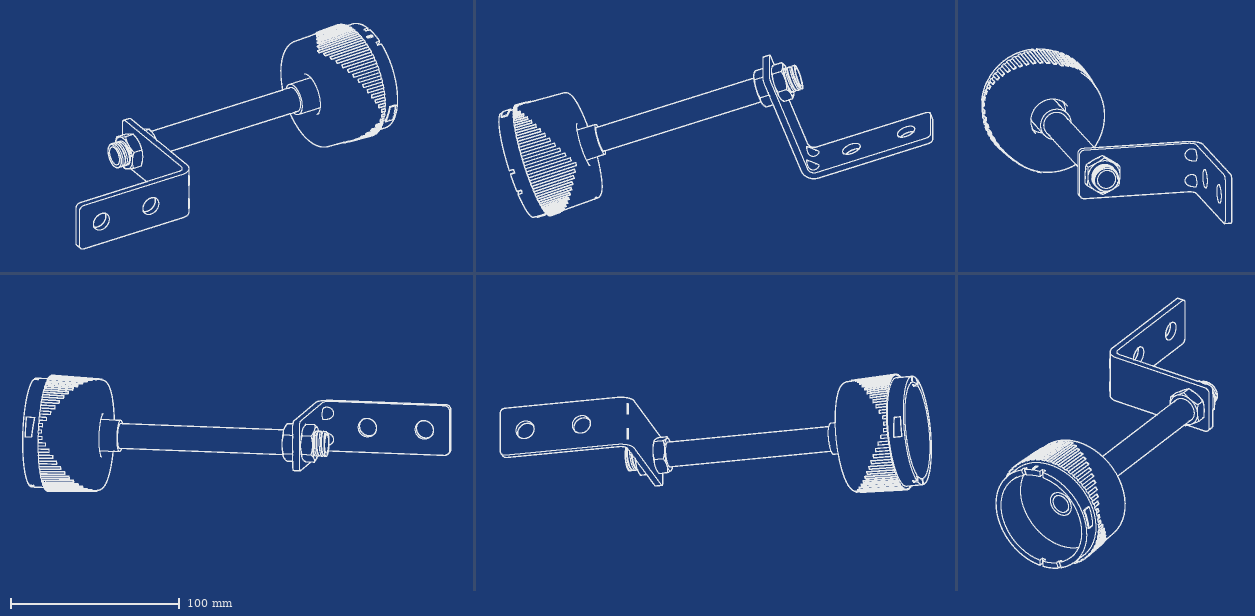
import cadquery as cq
import math


pipe_radius = 7.5
bore_radius = 5.5
pipe_end = 177.2
thread_pitch = 2.9
thread_depth = 0.7
thread_groove_width = 2.0

head_length = 42.5
collar_radius = 32.3
collar_length = 9.8
cone_start_radius = 34.0
cone_end_radius = 32.8
back_fillet = 2.9
cavity_radius = 28.7
recess_radius = 12.5
recess_fillet = 2.0
recess_depth = 16.8
floor_thickness = 4.8
hub_radius = 9.3
hub_end = 52.2
head_turn = 12.0

rib_count = 56
rib_width = 2.0
rib_height = 0.5
longest_rib = head_length - back_fillet - collar_length
shortest_rib = 2.0
rib_step = 2.1

notch_width = 2.2
notch_depth = 2.6
notch_angle = 12.0
lug_height = 0.7
lug_start = 1.7
lug_lengths = (3.8, 5.0)
lug_span = 11.7
lug_offset = 2.5
mark_width = 1.5
mark_length = 3.5
mark_depth = 0.7

plate_thickness = 4.0
bracket_width = 30.0
bracket_right = 61.0
bracket_left = -13.2
bracket_tip = 239.5
plate_front = 159.5
corner_radius = 3.0
bend_inner_radius = 4.0
screw_hole_radius = 5.5
screw_hole_places = (189.7, 224.2)
gusset_radius = 4.0
gusset_spacing = 15.8

nut_thickness = 7.2
nut_across_corners = 22.5
nut_turn = 3.0
nut_chamfer_angle = 30.0

plate_back = plate_front + plate_thickness
cavity_depth = head_length - recess_depth - floor_thickness


def rod(radius, start, end):
    """Cylinder on the pipe axis between two distances from Y = 0."""
    return cq.Workplane("XZ", origin=(0, -start, 0)).circle(radius).extrude(end - start)


def turned(workplane, angle):
    """Turn a shape about the pipe axis, from +Z towards +X."""
    return workplane.rotate((0, 0, 0), (0, 1, 0), angle)


def head_body():
    outline = (
        cq.Workplane("XY")
        .lineTo(collar_radius, 0)
        .lineTo(collar_radius, -collar_length)
        .lineTo(cone_start_radius, -collar_length)
        .lineTo(cone_end_radius, -head_length + back_fillet)
        .radiusArc((cone_end_radius - back_fillet, -head_length), back_fillet)
        .lineTo(0, -head_length)
        .close()
    )
    return outline.revolve(360, (0, 0, 0), (0, 1, 0))


def rib(length):
    """Tapered rib on the +Z side, standing proud of the cone by the rib height."""
    slope = (cone_start_radius - cone_end_radius) / longest_rib
    start_radius = cone_start_radius + rib_height
    root = cone_end_radius - rib_height
    return (
        cq.Workplane("YZ", origin=(-rib_width / 2, 0, 0))
        .moveTo(-collar_length, root)
        .lineTo(-collar_length, start_radius)
        .lineTo(-collar_length - length, start_radius - slope * length)
        .lineTo(-collar_length - length, root)
        .close()
        .extrude(rib_width)
    )


def ribs():
    """Ribs all around: longest at +Z and -Z, shortest at +X and -X."""
    shapes = []
    half_count = rib_count // 2
    for index in range(rib_count):
        from_longest = index % half_count
        from_longest = min(from_longest, half_count - from_longest)
        length = max(shortest_rib, longest_rib - rib_step * from_longest)
        shapes.append(turned(rib(length), index * 360 / rib_count).val())
    return shapes


def rim_notches():
    """Two pairs of square notches in the open rim, at +Z and -Z."""
    notch = (
        cq.Workplane("XZ")
        .rect(notch_width, 2 * (collar_radius + lug_height))
        .extrude(notch_depth)
    )
    return [turned(notch, angle).val() for angle in (-notch_angle, notch_angle)]


def lug():
    """Thin lug with one slanted edge on the -X side of the collar."""
    low = lug_offset - lug_span / 2
    block = (
        cq.Workplane("YZ")
        .moveTo(-lug_start, low)
        .lineTo(-lug_start - lug_lengths[0], low)
        .lineTo(-lug_start - lug_lengths[1], low + lug_span)
        .lineTo(-lug_start, low + lug_span)
        .close()
        .extrude(-collar_radius - lug_height)
    )
    mid_wall_radius = (cavity_radius + collar_radius) / 2
    ring = rod(collar_radius + lug_height, 0, collar_length)
    ring = ring.cut(rod(mid_wall_radius, 0, collar_length))
    return block.intersect(ring)


def index_mark():
    """Shallow groove on the +Z side of the collar."""
    middle = (0, -lug_start - mark_length / 2, collar_radius)
    return cq.Workplane("XY", origin=middle).box(mark_width, mark_length, 2 * mark_depth)


def make_head():
    head = head_body()
    for shape in ribs():
        head = head.union(cq.Workplane(shape))
    head = head.cut(rod(cavity_radius, 0, cavity_depth))
    head = head.cut(rod(recess_radius, head_length - recess_depth, head_length))
    mouth = cq.selectors.RadiusNthSelector(0)
    head = head.faces("<Y").edges(mouth).fillet(recess_fillet)
    for angle in (0, 180):
        head = head.union(turned(lug(), angle))
    for shape in rim_notches():
        head = head.cut(cq.Workplane(shape))
    head = head.cut(index_mark())
    head = head.union(rod(hub_radius, cavity_depth, hub_end))
    head = head.cut(rod(pipe_radius, cavity_depth, hub_end))
    return turned(head, head_turn)


def thread_groove():
    """Helical V groove from beyond the pipe end to halfway inside the outer nut."""
    length = pipe_end - plate_back - nut_thickness / 2 + thread_pitch
    start = -pipe_end - thread_pitch
    overshoot = 0.2
    path = cq.Wire.makeHelix(
        thread_pitch, length, pipe_radius, cq.Vector(0, start, 0), cq.Vector(0, 1, 0)
    )
    begin = path.startPoint()
    outward = cq.Vector(begin.x, 0, begin.z).normalized()
    tangent = outward.cross(cq.Vector(0, 1, 0))
    profile_plane = cq.Plane(origin=begin, xDir=outward, normal=tangent)
    return (
        cq.Workplane(profile_plane)
        .moveTo(-thread_depth, 0)
        .lineTo(overshoot, thread_groove_width / 2)
        .lineTo(overshoot, -thread_groove_width / 2)
        .close()
        .sweep(cq.Workplane(path), isFrenet=True)
    )


def make_pipe():
    pipe = rod(pipe_radius, cavity_depth, pipe_end)
    pipe = pipe.cut(thread_groove())
    return pipe.cut(rod(bore_radius, cavity_depth, pipe_end))


def gussets():
    """Round ribs laid at 45 degrees across the inner corner of the bend."""
    corner = (bracket_right - plate_thickness, -plate_back)
    along_gusset = cq.Plane(origin=(*corner, 0), xDir=(0, 0, 1), normal=(1, -1, 0))
    reach = gusset_radius * math.sqrt(2)
    overlap = plate_thickness / 2
    rounds = (
        cq.Workplane(along_gusset)
        .pushPoints([(-gusset_spacing / 2, 0), (gusset_spacing / 2, 0)])
        .circle(gusset_radius)
        .extrude(2 * reach, both=True)
    )
    inside_corner = (
        cq.Workplane("XY", origin=(*corner, -bracket_width / 2))
        .polyline([(overlap, overlap), (-reach, overlap), (-reach, -reach), (overlap, -reach)])
        .close()
        .extrude(bracket_width)
    )
    return rounds.intersect(inside_corner)


def make_bracket():
    outer_radius = bend_inner_radius + plate_thickness
    bracket = (
        cq.Workplane("XY", origin=(0, 0, -bracket_width / 2))
        .moveTo(bracket_left, -plate_front)
        .lineTo(bracket_right, -plate_front)
        .lineTo(bracket_right, -bracket_tip)
        .lineTo(bracket_right - plate_thickness, -bracket_tip)
        .lineTo(bracket_right - plate_thickness, -plate_back)
        .lineTo(bracket_left, -plate_back)
        .close()
        .extrude(bracket_width)
    )
    bracket = bracket.edges("|Z and >X and >Y").fillet(outer_radius)
    inner_bend = cq.selectors.NearestToPointSelector((bracket_right - plate_thickness, -plate_back, 0))
    bracket = bracket.edges("|Z").edges(inner_bend).fillet(bend_inner_radius)
    bracket = bracket.faces("<X").edges("|Y").fillet(corner_radius)
    bracket = bracket.faces("<Y").edges("|X").fillet(corner_radius)
    bracket = bracket.union(gussets())
    bracket = bracket.cut(rod(pipe_radius, plate_front, plate_back))
    screw_holes = (
        cq.Workplane("YZ", origin=(bracket_right, 0, 0))
        .pushPoints([(-place, 0) for place in screw_hole_places])
        .circle(screw_hole_radius)
        .extrude(-plate_thickness)
    )
    return bracket.cut(screw_holes)


def make_nut(start):
    hexagon = (
        cq.Workplane("XZ", origin=(0, -start, 0))
        .polygon(6, nut_across_corners)
        .extrude(nut_thickness)
    )
    half_side_angle = 30
    outer_radius = nut_across_corners / 2
    flat_radius = outer_radius * math.cos(math.radians(half_side_angle))
    drop = (outer_radius - flat_radius) * math.tan(math.radians(nut_chamfer_angle))
    end = start + nut_thickness
    chamfer_envelope = (
        cq.Workplane("XY")
        .moveTo(0, -start)
        .lineTo(flat_radius, -start)
        .lineTo(outer_radius, -start - drop)
        .lineTo(outer_radius, -end + drop)
        .lineTo(flat_radius, -end)
        .lineTo(0, -end)
        .close()
        .revolve(360, (0, 0, 0), (0, 1, 0))
    )
    nut = turned(hexagon, half_side_angle + nut_turn).intersect(chamfer_envelope)
    return nut.cut(rod(pipe_radius, start, end))


head = make_head()
pipe = make_pipe()
bracket = make_bracket()
nuts = [make_nut(start) for start in (plate_front - nut_thickness, plate_back)]

bodies = [head, pipe, bracket, *nuts]
result = cq.Compound.makeCompound([body.solids().val() for body in bodies])